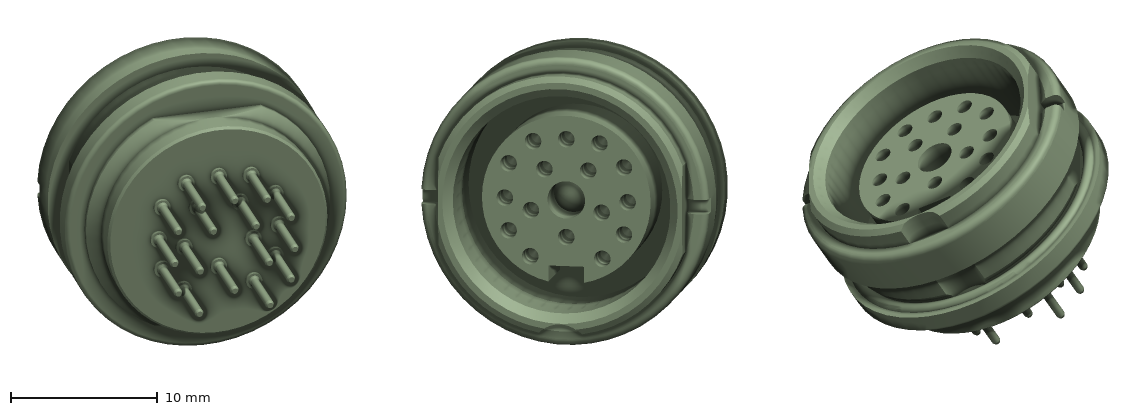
import cadquery as cq
import math

ring_front = 1.55
ring_back = 4.5
body_chamfer_start = 6.75
body_back = 7.18
flange_front = 7.5
flange_back = 9.0
neck_taper_start = 9.35
neck_taper_end = 10.1
neck_back = 11.8
pin_tip = 16.05

body_radius = 9.0
body_front_chamfer_length = 0.25
body_front_chamfer_height = 0.4
body_back_chamfer_height = 0.25
flat_distance = 8.45

groove_radius = 2.0
groove_top = 8.2

ring_radius = 10.0
ring_fillet = 0.45
slot_width = 1.0
slot_length = 0.95
lead_in_height = 0.88
lead_in_depth = 0.5

flange_radius = 10.0
flange_fillet = 0.3
seal_center_radius = 9.15
seal_section_radius = 0.45
shoulder_radius = 8.65
neck_radius = 7.8
neck_flat_distance = 7.75
neck_chamfer = 0.15

mouth_radius = 8.15
bore_radius = 15.1 / 2
mouth_chamfer_length = mouth_radius - bore_radius
rear_bore_radius = 15.18 / 2
insert_face = 2.32
bore_step = 4.0
cavity_floor = 6.6
insert_radius = 11.7 / 2
key_width = 2.48
key_top = -4.6

center_hole_radius = 2.6 / 2
dome_apex_depth = 1.6
dome_height = 0.8

socket_mouth_radius = 1.15 / 2
socket_radius = 1.0 / 2
socket_chamfer = socket_mouth_radius - socket_radius
socket_contact_depth = 1.0
socket_depth = 2.0
socket_cone_depth = 0.3
collar_radius = 1.15 / 2
collar_length = 0.25
pin_cone_radius = 0.4
pin_cone_length = 0.2
pin_radius = 0.6 / 2
pin_tip_length = 0.2
pin_tip_chamfer = 0.1
inner_circle_radius = 2.58
inner_contact_count = 5
outer_contacts_one_side = [(2.3, 4.0), (4.0, 2.4), (4.25, 0.0), (4.0, -2.25), (2.5, -4.0)]
top_contact = (0.0, 4.22)


def revolve_about_x(points):
    """Solid of revolution about X from an (x, radius) outline."""
    return cq.Workplane("XY").polyline(points).close().revolve(360, (0, 0, 0), (1, 0, 0))


def cylinder_x(radius, start, end):
    """Cylinder on the X axis between two stations."""
    return cq.Workplane("YZ").workplane(offset=start).circle(radius).extrude(end - start)


def box_between(x_range, y_range, z_range):
    """Box spanning the given ranges."""
    (x0, x1), (y0, y1), (z0, z1) = x_range, y_range, z_range
    return cq.Workplane("XY").box(x1 - x0, y1 - y0, z1 - z0, centered=False).translate((x0, y0, z0))


def make_body():
    """Chamfered body blank with a flat on each Y side and a groove along the underside."""
    blank = revolve_about_x([
        (0, 0),
        (0, body_radius - body_front_chamfer_height),
        (body_front_chamfer_length, body_radius),
        (body_chamfer_start, body_radius),
        (body_back, body_radius - body_back_chamfer_height),
        (flange_front, body_radius - body_back_chamfer_height),
        (flange_front, 0),
    ])
    groove = cylinder_x(groove_radius, 0, flange_front).translate((0, 0, -groove_top - groove_radius))
    keep = box_between((0, flange_front), (-flat_distance, flat_distance), (-body_radius, body_radius))
    return blank.intersect(keep).cut(groove)


def make_ring():
    """Coupling ring with a rounded, countersunk front and a slot on each Y side."""
    ring = cylinder_x(ring_radius, ring_front, ring_back).faces("<X").edges().fillet(ring_fillet)
    lead_in = revolve_about_x([
        (ring_front, 0),
        (ring_front, body_radius),
        (ring_front + lead_in_depth, body_radius - lead_in_height),
        (ring_front + lead_in_depth, 0),
    ])
    bore = cylinder_x(body_radius - lead_in_height, ring_front, ring_back)
    slots = box_between(
        (ring_front, ring_front + slot_length),
        (-ring_radius, ring_radius),
        (-slot_width / 2, slot_width / 2),
    )
    return ring.cut(lead_in).cut(bore).cut(slots)


def make_seal():
    """O-ring seated against the front of the flange."""
    section_x = body_back + seal_section_radius
    section = cq.Workplane("XY").moveTo(section_x, seal_center_radius).circle(seal_section_radius)
    return section.revolve(360, (0, 0, 0), (1, 0, 0))


def make_rear():
    """Flange, tapered shoulder with two flats, and neck."""
    flange = cylinder_x(flange_radius, flange_front, flange_back).faces(">X").edges().fillet(flange_fillet)
    shoulder = revolve_about_x([
        (flange_back, 0),
        (flange_back, shoulder_radius),
        (neck_taper_start, shoulder_radius),
        (neck_taper_end, neck_radius),
        (neck_taper_end, 0),
    ])
    keep = box_between(
        (flange_back, neck_taper_end),
        (-shoulder_radius, shoulder_radius),
        (-neck_flat_distance, neck_flat_distance),
    )
    neck = cylinder_x(neck_radius, neck_taper_end, neck_back).faces(">X").chamfer(neck_chamfer)
    return flange.union(shoulder.intersect(keep)).union(neck)


def make_cavity():
    """Stepped front bore with a conical mouth."""
    return revolve_about_x([
        (0, 0),
        (0, mouth_radius),
        (mouth_chamfer_length, bore_radius),
        (bore_step, bore_radius),
        (bore_step, rear_bore_radius),
        (cavity_floor, rear_bore_radius),
        (cavity_floor, 0),
    ])


def make_insert():
    """Contact insert with a keyway at the bottom."""
    insert = cylinder_x(insert_radius, insert_face, cavity_floor)
    keyway = box_between(
        (insert_face, cavity_floor), (-key_width / 2, key_width / 2), (-insert_radius, key_top)
    )
    return insert.cut(keyway)


def make_center_hole():
    """Cutter for the centre hole, whose bottom is a spherical dome rising to its apex."""
    apex = insert_face + dome_apex_depth
    rim = apex + dome_height
    dome_radius = (center_hole_radius ** 2 + dome_height ** 2) / (2 * dome_height)
    half_angle = math.asin(center_hole_radius / dome_radius) / 2
    arc_middle = (apex + dome_radius * (1 - math.cos(half_angle)), dome_radius * math.sin(half_angle))
    outline = (
        cq.Workplane("XY")
        .moveTo(insert_face, 0)
        .lineTo(insert_face, center_hole_radius)
        .lineTo(rim, center_hole_radius)
        .threePointArc(arc_middle, (apex, 0))
        .close()
    )
    return outline.revolve(360, (0, 0, 0), (1, 0, 0))


def contact_positions():
    """(y, z) of every contact: an evenly spaced inner circle and a mirrored outer group."""
    step = 2 * math.pi / inner_contact_count
    inner = [
        (inner_circle_radius * math.sin(i * step), -inner_circle_radius * math.cos(i * step))
        for i in range(inner_contact_count)
    ]
    mirrored = [(-y, z) for y, z in outer_contacts_one_side]
    return inner + outer_contacts_one_side + mirrored + [top_contact]


def make_socket():
    """Socket hole that narrows at the contact and ends in a cone."""
    contact = insert_face + socket_contact_depth
    bottom = insert_face + socket_depth
    return revolve_about_x([
        (insert_face, 0),
        (insert_face, socket_mouth_radius),
        (contact, socket_mouth_radius),
        (contact + socket_chamfer, socket_radius),
        (bottom, socket_radius),
        (bottom + socket_cone_depth, 0),
    ])


def make_pin():
    """Solder pin with a collar, a short cone and a chamfered tip."""
    collar_end = neck_back + collar_length
    return revolve_about_x([
        (neck_back, 0),
        (neck_back, collar_radius),
        (collar_end, collar_radius),
        (collar_end, pin_cone_radius),
        (collar_end + pin_cone_length, pin_radius),
        (pin_tip - pin_tip_length, pin_radius),
        (pin_tip, pin_radius - pin_tip_chamfer),
        (pin_tip, 0),
    ])


result = make_body().union(make_ring()).union(make_seal()).union(make_rear())
result = result.cut(make_cavity()).union(make_insert()).cut(make_center_hole())

socket = make_socket()
pin = make_pin()
for y, z in contact_positions():
    result = result.cut(socket.translate((0, y, z)))
    result = result.union(pin.translate((0, y, z)))